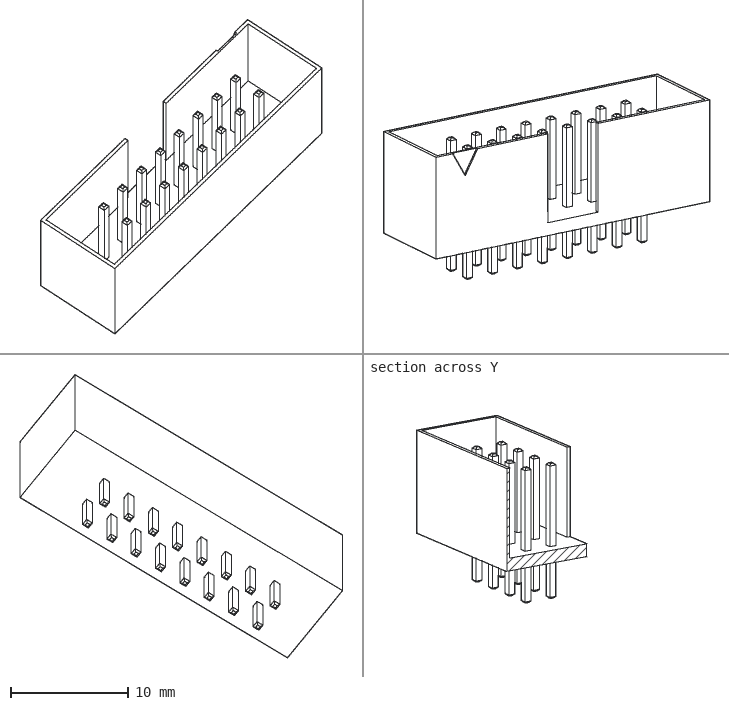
import cadquery as cq
import math


HOUSING_WIDTH = 8.2
HOUSING_LENGTH = 27.9
HOUSING_HEIGHT = 9.18
WALL = 0.33
FLOOR = 1.17

KEY_SLOT_WIDTH = 5.13

MARK_SIDE = 2.5
MARK_HEIGHT = MARK_SIDE * math.sqrt(3) / 2
MARK_DEPTH = 0.17
MARK_END_DISTANCE = 2.99

PIN_ROWS = 2
PINS_PER_ROW = 8
PITCH = 2.55
PIN_SIZE = 0.6
PIN_TAIL = 3.52
PIN_TOP_RECESS = 0.67
PIN_TIP_CHAMFER = 0.17
PIN_LENGTH = PIN_TAIL + HOUSING_HEIGHT - PIN_TOP_RECESS

OUTER_FACE_X = -HOUSING_WIDTH / 2


def block(width, length, height, base_z):
    """Upright box centred on X and Y, standing at base_z."""
    return cq.Workplane("XY", origin=(0, 0, base_z)).box(
        width, length, height, centered=(True, True, False)
    )


def make_housing():
    """Box hollowed from the top, leaving the floor and four walls."""
    cavity = block(
        HOUSING_WIDTH - 2 * WALL,
        HOUSING_LENGTH - 2 * WALL,
        HOUSING_HEIGHT - FLOOR,
        FLOOR,
    )
    return block(HOUSING_WIDTH, HOUSING_LENGTH, HOUSING_HEIGHT, 0).cut(cavity)


def make_key_slot():
    """Cutter that opens the -X wall from the rim down to the floor."""
    slot = block(WALL, KEY_SLOT_WIDTH, HOUSING_HEIGHT - FLOOR, FLOOR)
    return slot.translate((OUTER_FACE_X + WALL / 2, 0, 0))


def make_pin_one_mark():
    """Triangular cutter with its base on the rim and its point downwards."""
    center_y = HOUSING_LENGTH / 2 - MARK_END_DISTANCE
    return (
        cq.Workplane("YZ", origin=(OUTER_FACE_X, center_y, HOUSING_HEIGHT))
        .polyline([(-MARK_SIDE / 2, 0), (MARK_SIDE / 2, 0), (0, -MARK_HEIGHT)])
        .close()
        .extrude(MARK_DEPTH)
    )


def make_pin():
    """Square pin with all the edges of both tips chamfered."""
    return (
        block(PIN_SIZE, PIN_SIZE, PIN_LENGTH, -PIN_TAIL)
        .faces("<Z or >Z")
        .edges()
        .chamfer(PIN_TIP_CHAMFER)
    )


result = make_housing().cut(make_key_slot()).cut(make_pin_one_mark())

pin = make_pin()
for row in range(PIN_ROWS):
    pin_x = (row - (PIN_ROWS - 1) / 2) * PITCH
    for position in range(PINS_PER_ROW):
        pin_y = (position - (PINS_PER_ROW - 1) / 2) * PITCH
        result = result.union(pin.translate((pin_x, pin_y, 0)))